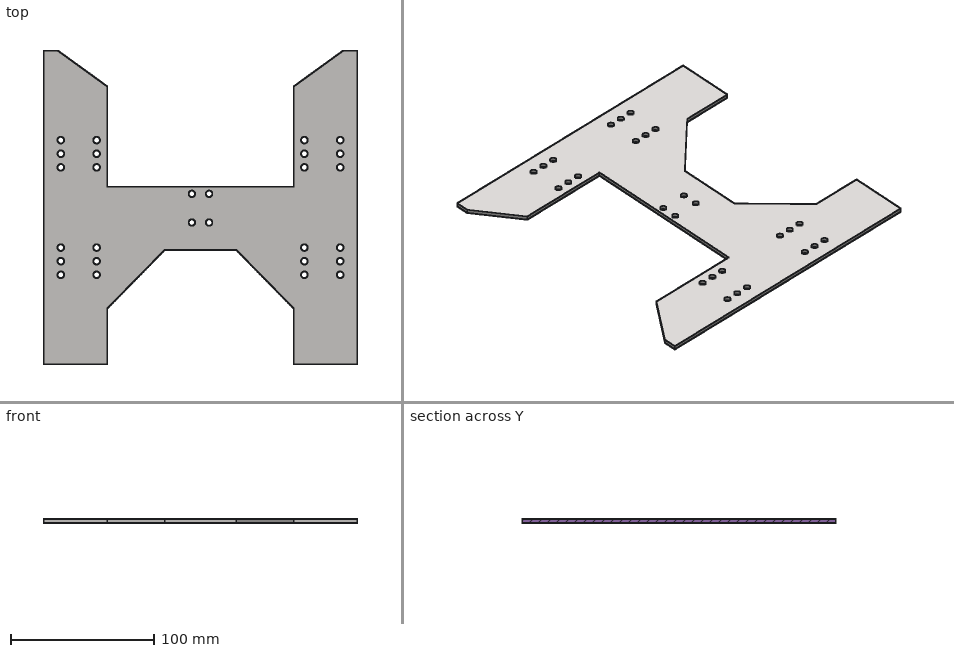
import cadquery as cq

plate_size = 219.0
thickness = 3.0
half_size = plate_size / 2

half_gap = 65.0

rear_gap_depth = 95.0
tip_width = 10.0
tip_slant_length = 25.0

front_gap_depth = 79.75
front_gap_straight_depth = 39.0
front_gap_half_end = 25.0

arm_hole_diameter = 4.5
arm_hole_inner_x = 72.5
arm_hole_column_spacing = 25.0
arm_hole_first_y = 28.0
arm_hole_pitch = 9.5
holes_per_column = 3

bar_hole_diameter = 4.4
bar_hole_spacing_x = 12.0
bar_hole_spacing_y = 20.0
bar_hole_center_y = -0.5


def make_plate():
    """H-shaped plate: half of the outline, mirrored about the YZ plane."""
    rear_edge_y = half_size - rear_gap_depth
    front_edge_y = -half_size + front_gap_depth
    half_outline = [
        (0, rear_edge_y),
        (half_gap, rear_edge_y),
        (half_gap, half_size - tip_slant_length),
        (half_size - tip_width, half_size),
        (half_size, half_size),
        (half_size, -half_size),
        (half_gap, -half_size),
        (half_gap, -half_size + front_gap_straight_depth),
        (front_gap_half_end, front_edge_y),
        (0, front_edge_y),
    ]
    return cq.Workplane("XY").polyline(half_outline).mirrorY().extrude(thickness)


def arm_hole_points():
    points = []
    for side_x in (-1, 1):
        for side_y in (-1, 1):
            for column in range(2):
                x = arm_hole_inner_x + column * arm_hole_column_spacing
                for row in range(holes_per_column):
                    y = arm_hole_first_y + row * arm_hole_pitch
                    points.append((side_x * x, side_y * y))
    return points


def bar_hole_points():
    return [
        (side_x * bar_hole_spacing_x / 2, bar_hole_center_y + side_y * bar_hole_spacing_y / 2)
        for side_x in (-1, 1)
        for side_y in (-1, 1)
    ]


def drill(body, points, diameter):
    """Cut through holes at the given XY points."""
    cutters = cq.Workplane("XY").pushPoints(points).circle(diameter / 2).extrude(thickness)
    return body.cut(cutters)


result = make_plate()
result = drill(result, arm_hole_points(), arm_hole_diameter)
result = drill(result, bar_hole_points(), bar_hole_diameter)